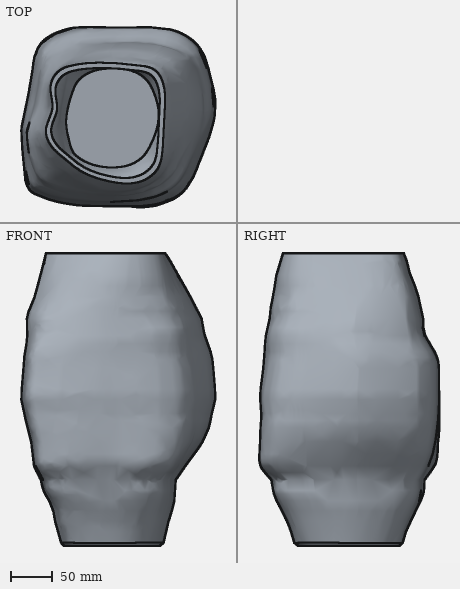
import cadquery as cq
import math

HEIGHT = 350.2
WALL = 6.3
FLOOR = 6.3
BASE_CHAMFER = 4.2
TAPER_HEIGHT = 105.0
BASE_ROUNDNESS = 0.6
BULGE_HEIGHT = 227.5

LEVELS = [
    (-17.5, -66.2, 49.7, -60.0, 59.5, 0.0),
    (0.0, -69.5, 53.2, -64.8, 63.7, 0.0),
    (17.5, -72.5, 56.7, -69.7, 68.0, 0.0),
    (35.0, -77.0, 61.5, -76.7, 75.5, 1.8),
    (52.5, -82.3, 66.5, -85.5, 83.5, 4.2),
    (70.0, -91.0, 67.5, -90.0, 87.0, 7.0),
    (87.5, -97.7, 73.5, -97.7, 91.0, 9.8),
    (105.0, -102.3, 87.0, -104.5, 98.8, 10.5),
    (122.5, -104.0, 99.0, -105.0, 102.5, 5.0),
    (140.0, -108.5, 107.5, -105.5, 105.0, 2.0),
    (157.5, -112.5, 111.5, -104.7, 106.5, -1.5),
    (175.0, -116.3, 115.5, -106.5, 107.0, -3.5),
    (192.5, -115.2, 115.0, -105.5, 106.8, -5.5),
    (210.0, -113.8, 113.5, -103.0, 106.8, -7.0),
    (227.5, -112.5, 111.5, -101.2, 103.3, -9.8),
    (245.0, -109.5, 105.5, -100.5, 94.0, -8.8),
    (262.5, -109.3, 101.0, -97.5, 88.2, -10.5),
    (280.0, -107.5, 95.2, -94.5, 85.8, -14.0),
    (297.5, -100.5, 85.8, -91.5, 82.5, -14.0),
    (315.0, -95.5, 75.5, -88.2, 76.7, -10.5),
    (332.5, -91.0, 66.0, -83.5, 70.7, -5.3),
    (HEIGHT, -87.0, 55.5, -75.5, 65.0, 0.0),
    (HEIGHT + 17.5, -82.5, 44.8, -68.0, 59.5, 0.0),
]

RIM_OUTLINE = [
    (-0.59, -0.71), (-0.34, -0.88), (0, -1), (0.68, -0.98), (0.89, -0.78), (0.96, -0.49),
    (1, 0.17), (0.98, 0.61), (0.85, 0.86), (0.52, 0.96), (0, 1), (-0.53, 0.96),
    (-0.78, 0.86), (-0.92, 0.61), (-0.89, 0.23), (-1, -0.16), (-0.95, -0.35),
]
BODY_OUTLINE = [
    (-0.86, -0.86), (-0.59, -0.96), (0, -1), (0.48, -0.97), (0.71, -0.83), (0.84, -0.55),
    (1, 0.1), (0.93, 0.54), (0.84, 0.77), (0.68, 0.92), (0, 1), (-0.56, 0.99),
    (-0.86, 0.77), (-0.9, 0.54), (-0.95, 0.17), (-1, -0.15), (-0.98, -0.48),
]


def section(level, inset):
    """Closed smooth wire at a level, with its extents drawn in by the inset."""
    z, left, right, front, back, fullness = level
    center_x = (left + right) / 2
    center_y = (front + back) / 2
    half_width = (right - left) / 2 - inset
    half_depth = (back - front) / 2 - inset
    rim_share = max(0.0, (z - BULGE_HEIGHT) / (HEIGHT - BULGE_HEIGHT))
    round_share = BASE_ROUNDNESS * max(0.0, 1 - z / TAPER_HEIGHT)
    points = []
    for (rim_u, rim_v), (body_u, body_v) in zip(RIM_OUTLINE, BODY_OUTLINE):
        u = body_u + rim_share * (rim_u - body_u)
        v = body_v + rim_share * (rim_v - body_v)
        rounding = 1 + round_share * (1 / math.hypot(u, v) - 1)
        u *= rounding
        v *= rounding
        push = fullness * max(0.0, -u * v)
        x = center_x + half_width * u + push * math.copysign(1, u)
        y = center_y + half_depth * v + push * math.copysign(1, v)
        points.append(cq.Vector(x, y, z))
    return cq.Wire.assembleEdges([cq.Edge.makeSpline(points, periodic=True)])


def skin_solid(inset, bottom):
    """Smooth solid from the bottom height to the rim, drawn in from the outer skin by the inset."""
    wires = [section(level, inset) for level in LEVELS]
    height_range = (
        cq.Workplane()
        .workplane(offset=bottom)
        .box(HEIGHT, HEIGHT, HEIGHT - bottom, centered=(True, True, False))
    )
    return cq.Workplane(obj=cq.Solid.makeLoft(wires)).intersect(height_range)


outer_body = skin_solid(0, 0).faces("<Z").chamfer(BASE_CHAMFER)
cavity = skin_solid(WALL, FLOOR)
result = outer_body.cut(cavity)